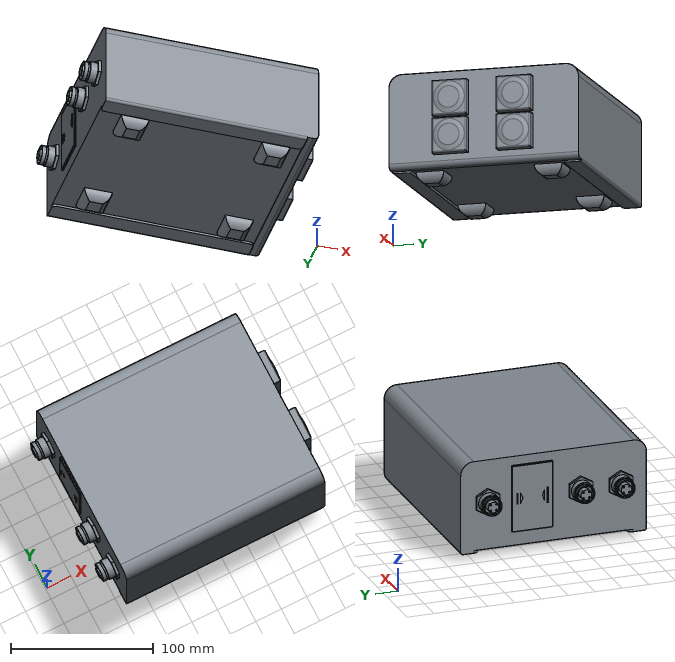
import cadquery as cq
import math


overall_length = 176.0
overall_width = 138.3
overall_height = 74.5
connector_reach = 12.5
display_reach = 7.5
body_length = overall_length - connector_reach - display_reach

top_radius = 9.5
floor_z = 7.4
rear_lip_z = 6.7
rear_bottom_radius = 3.9

flange_z = 5.5
flange_length = 147.8
flange_width = 13.2
fold_radius = 1.8
flange_corner_radius = 3.2

foot_half_width = 10.2
foot_middle_half_width = 8.5
foot_middle_z = 2.6
foot_flat_half_width = 5.0
foot_x_places = (26.2, 129.5)
foot_y_places = (42.2, -44.0)

connector_y_places = (49.3, -19.9, -49.8)
connector_z = 43.1
nut_across_flats = 17.0
nut_thickness = 2.1
barrel_diameter = 14.8
barrel_end = 7.2
groove_diameter = 13.0
groove_end = 8.6
collar_diameter = 13.5
collar_end = 11.5
socket_diameter = 12.0
insert_diameter = 8.0
pin_hole_diameter = 1.2
pin_hole_offset = 2.2
pin_hole_depth = 1.8

plate_y = 16.2
plate_z = 42.8
plate_width = 30.6
plate_height = 50.0
plate_thickness = 1.4
plate_chamfer = 0.5
plate_corner_radius = 0.9
ridge_offset = 11.3
ridge_width = 0.7
ridge_height = 0.5
outer_ridge_length = 7.7
inner_ridge_length = 11.5
arrow_base_offset = 8.8
arrow_half_height = 3.9
outer_arrow_length = 1.8
inner_arrow_length = 1.2
arrow_depth = 0.2

display_y = 23.4
display_z_places = (27.6, 54.5)
display_size = 25.0
display_block_depth = 6.5
display_edge_radius = 0.9
lens_radius = 11.3
lens_flat_radius = 7.7

EMBED = 0.9


def make_box(x_range, y_range, z_range):
    """Box spanning the given (low, high) ranges."""
    size = [high - low for low, high in (x_range, y_range, z_range)]
    corner = (x_range[0], y_range[0], z_range[0])
    return cq.Workplane("XY").box(*size, centered=False).translate(corner)


def rod(diameter, start, end):
    """Cylinder pointing out of the -X face, between two distances from that face."""
    return cq.Workplane("YZ").circle(diameter / 2).extrude(start - end).translate((-start, 0, 0))


def make_enclosure():
    half_width = overall_width / 2
    body = make_box((0, body_length), (-half_width, half_width), (rear_lip_z, overall_height))
    body = body.edges("|X and >Z").fillet(top_radius)
    body = body.edges(">X and <Z").fillet(rear_bottom_radius)
    body = body.cut(make_box((0, flange_length), (-half_width, half_width), (rear_lip_z, floor_z)))
    strip_top = flange_z + 2 * fold_radius
    for side in (1, -1):
        outer_y = side * half_width
        fold_range = sorted((outer_y, outer_y - side * fold_radius))
        body = body.cut(make_box((0, flange_length), fold_range, (flange_z, strip_top)))
        strip_range = sorted((outer_y, outer_y - side * flange_width))
        strip = make_box((0, flange_length), strip_range, (flange_z, strip_top))
        inner_side, outer_side = ("<Y", ">Y") if side > 0 else (">Y", "<Y")
        strip = strip.edges(f"|Z and {inner_side}").fillet(flange_corner_radius)
        strip = strip.edges(f"|X and <Z and {outer_side}").fillet(fold_radius)
        body = body.union(strip)
    return body


def foot_bar(plane):
    """Long bar with the rounded foot outline, running square to the given plane."""
    return (
        cq.Workplane(plane)
        .moveTo(-foot_flat_half_width, 0)
        .lineTo(foot_flat_half_width, 0)
        .threePointArc((foot_middle_half_width, foot_middle_z), (foot_half_width, floor_z))
        .lineTo(foot_half_width, floor_z + EMBED)
        .lineTo(-foot_half_width, floor_z + EMBED)
        .lineTo(-foot_half_width, floor_z)
        .threePointArc((-foot_middle_half_width, foot_middle_z), (-foot_flat_half_width, 0))
        .close()
        .extrude(2 * foot_half_width, both=True)
    )


def make_foot():
    """Foot with the same rounded outline along X and along Y."""
    return foot_bar("XZ").intersect(foot_bar("YZ"))


def make_connector():
    nut_across_corners = nut_across_flats / math.cos(math.pi / 6)
    nut = cq.Workplane("YZ").transformed(rotate=(0, 0, 90)).polygon(6, nut_across_corners)
    connector = nut.extrude(nut_thickness + EMBED).translate((-nut_thickness, 0, 0))
    connector = connector.union(rod(barrel_diameter, 0, barrel_end))
    connector = connector.union(rod(groove_diameter, 0, groove_end))
    connector = connector.union(rod(collar_diameter, groove_end, collar_end))
    connector = connector.cut(rod(socket_diameter, barrel_end, collar_end))
    connector = connector.union(rod(insert_diameter, 0, connector_reach))
    for y in (-pin_hole_offset, pin_hole_offset):
        for z in (-pin_hole_offset, pin_hole_offset):
            hole = rod(pin_hole_diameter, connector_reach - pin_hole_depth, connector_reach)
            connector = connector.cut(hole.translate((0, y, z)))
    return connector


def make_cover_plate():
    plate = make_box(
        (-plate_thickness, EMBED),
        (-plate_width / 2, plate_width / 2),
        (-plate_height / 2, plate_height / 2),
    )
    plate = plate.edges("|X").fillet(plate_corner_radius).faces("<X").chamfer(plate_chamfer)
    marks = (
        (1, outer_ridge_length, outer_arrow_length),
        (-1, inner_ridge_length, inner_arrow_length),
    )
    for side, ridge_length, arrow_length in marks:
        ridge = cq.Workplane("YZ").rect(ridge_width, ridge_length).extrude(-ridge_height - plate_thickness)
        plate = plate.union(ridge.translate((0, side * ridge_offset, 0)))
        arrow = (
            cq.Workplane("YZ")
            .moveTo(side * arrow_base_offset, arrow_half_height)
            .lineTo(side * arrow_base_offset, -arrow_half_height)
            .lineTo(side * (arrow_base_offset - arrow_length), 0)
            .close()
            .extrude(arrow_depth)
        )
        plate = plate.cut(arrow.translate((-plate_thickness, 0, 0)))
    return plate


def make_display():
    """Square block with a shallow tapered round lens, its back embedded behind X = 0."""
    half = display_size / 2
    block = make_box((-EMBED, display_block_depth), (-half, half), (-half, half))
    block = block.faces(">X").edges().fillet(display_edge_radius)
    lens = (
        cq.Workplane("XY")
        .lineTo(display_reach, 0)
        .lineTo(display_reach, lens_flat_radius)
        .lineTo(display_block_depth, lens_radius)
        .lineTo(0, lens_radius)
        .close()
        .revolve(360, (0, 0, 0), (1, 0, 0))
    )
    return block.union(lens)


result = make_enclosure()

for foot_x in foot_x_places:
    for foot_y in foot_y_places:
        result = result.union(make_foot().translate((foot_x, foot_y, 0)))

for connector_y in connector_y_places:
    result = result.union(make_connector().translate((0, connector_y, connector_z)))

result = result.union(make_cover_plate().translate((0, plate_y, plate_z)))

for side in (1, -1):
    for display_z in display_z_places:
        result = result.union(make_display().translate((body_length, side * display_y, display_z)))